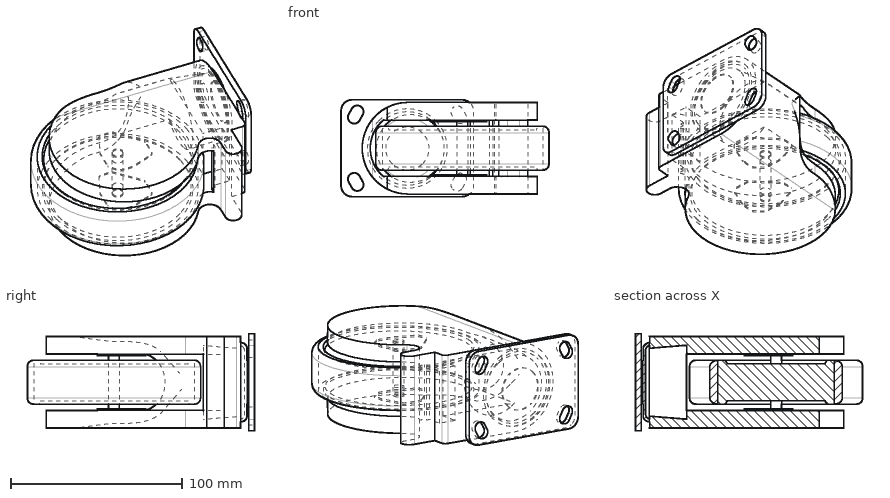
import cadquery as cq
import math


plate_length = 77.2
plate_width = 56.7
plate_thickness = 3.6
plate_corner_radius = 6.6
slot_spacing_x = 60.0
slot_spacing_z = 39.3
slot_diameter = 7.2
slot_length = 10.9
slot_angle = 61.0

stem_radius = 12.6
stem_height = 0.8
dome_radius = 23.2
dome_height = 3.8
dome_top_radius = 19.4
dome_wall = 1.7
dome_top_depth = plate_thickness + stem_height

axle_x = 32.2
wheel_radius = 50.5
wheel_width = 25.7
overall_height = 132.7
axle_y = wheel_radius - overall_height
rim_radius = 46.8
shoulder_size = wheel_radius - rim_radius
recess_radius = 43.9
recess_floor_radius = 43.0
recess_depth = 2.0
axle_radius = 3.2

fork_top_depth = dome_top_depth + dome_height
fork_width = 53.5
fork_gap = 32.9
shell_radius = fork_width / 2
shell_center_x = 0.5
shell_left_x = shell_center_x - shell_radius
bore_radius = dome_radius - dome_wall
bore_top_radius = 19.8
cheek_radius = 43.8
cheek_center_y = -77.9
cheek_end_y = -76.7
bend_start_y = -38.2
bend_x = -20.5
bend_y = -53.6
back_x = 50.7
back_corner_radius = 2.7
tab_tip_x = 70.5
tab_top_depth = 17.8
tab_thickness = 10.1
tab_fillet_radius = 6.8
web_depth = 30.0
web_pocket_start_x = 36.8
web_pocket_end_x = 47.8
web_pocket_depth = tab_top_depth
web_step_end_x = 49.9
web_step_depth = tab_top_depth + tab_thickness

pad_thickness = 0.9
pad_corner_radius = 2.7
pad_left = -17.5
pad_right = 14.2
pad_bottom = -9.7
pad_top = 18.6
pad_flat_left = -3.2
pad_flat_right = 8.8
pad_side_low = -4.5
pad_side_high = 3.7


def across_swivel(depth):
    """Workplane square to the swivel axis; positive extrusion runs towards -Y."""
    return cq.Workplane("XZ", origin=(0, -depth, 0))


def around_axle(z):
    """Workplane square to the axle and centred on it."""
    return cq.Workplane("XY", origin=(axle_x, axle_y, z))


def make_plate():
    plate = across_swivel(0).rect(plate_length, plate_width).extrude(plate_thickness)
    plate = plate.edges("|Y").fillet(plate_corner_radius)
    for side_x in (-1, 1):
        for side_z in (-1, 1):
            slot = (
                across_swivel(0)
                .center(side_x * slot_spacing_x / 2, side_z * slot_spacing_z / 2)
                .slot2D(slot_length, slot_diameter, -side_x * side_z * slot_angle)
                .extrude(plate_thickness)
            )
            plate = plate.cut(slot)
    return plate


def make_stem():
    return across_swivel(plate_thickness).circle(stem_radius).extrude(stem_height)


def make_dome():
    """Thin cap with a rounded rim, open towards the bore of the fork."""
    top_y = -dome_top_depth
    base_y = -fork_top_depth
    inner_top_radius = dome_top_radius - dome_wall
    inner_top_y = top_y - dome_wall
    diagonal = math.sqrt(0.5)

    def rim_middle(flat_radius, outer_radius, upper_y):
        return (
            flat_radius + (outer_radius - flat_radius) * diagonal,
            base_y + (upper_y - base_y) * diagonal,
        )

    return (
        cq.Workplane("XY")
        .moveTo(0, top_y)
        .lineTo(dome_top_radius, top_y)
        .threePointArc(rim_middle(dome_top_radius, dome_radius, top_y), (dome_radius, base_y))
        .lineTo(bore_radius, base_y)
        .threePointArc(
            rim_middle(inner_top_radius, bore_radius, inner_top_y),
            (inner_top_radius, inner_top_y),
        )
        .lineTo(0, inner_top_y)
        .close()
        .revolve(360, (0, 0, 0), (0, 1, 0))
    )


def fork_side_profile():
    """Side outline of the fork: neck, locking tab and round cheek in one loop."""
    top_y = -fork_top_depth
    tab_top_y = -tab_top_depth
    tab_radius = tab_thickness / 2
    tab_bottom_y = tab_top_y - tab_thickness
    cheek_end_x = axle_x - math.sqrt(cheek_radius**2 - (cheek_end_y - cheek_center_y) ** 2)

    fillet_y = tab_bottom_y - tab_fillet_radius
    center_distance = cheek_radius + tab_fillet_radius
    rise = fillet_y - cheek_center_y
    fillet_x = axle_x + math.sqrt(center_distance**2 - rise**2)
    contact_angle = math.atan2(rise, fillet_x - axle_x)
    contact = (
        axle_x + cheek_radius * math.cos(contact_angle),
        cheek_center_y + cheek_radius * math.sin(contact_angle),
    )
    middle_angle = (math.pi / 2 + math.pi + contact_angle) / 2
    fillet_middle = (
        fillet_x + tab_fillet_radius * math.cos(middle_angle),
        fillet_y + tab_fillet_radius * math.sin(middle_angle),
    )

    return (
        cq.Workplane("XY", origin=(0, 0, -fork_width / 2))
        .moveTo(shell_left_x, top_y)
        .lineTo(back_x - back_corner_radius, top_y)
        .tangentArcPoint((back_x, top_y - back_corner_radius), relative=False)
        .lineTo(back_x, tab_top_y)
        .lineTo(tab_tip_x - tab_radius, tab_top_y)
        .threePointArc((tab_tip_x, tab_top_y - tab_radius), (tab_tip_x - tab_radius, tab_bottom_y))
        .lineTo(fillet_x, tab_bottom_y)
        .threePointArc(fillet_middle, contact)
        .threePointArc((axle_x, cheek_center_y - cheek_radius), (cheek_end_x, cheek_end_y))
        .tangentArcPoint((bend_x, bend_y), relative=False)
        .tangentArcPoint((shell_left_x, bend_start_y), relative=False)
        .close()
    )


def rounded_front_prism(center_x, radius, half_width, depth):
    """Prism along the swivel axis, round at its -X end and open-ended at +X."""
    height = overall_height - depth
    start = across_swivel(depth).center(center_x, 0)
    round_end = start.circle(radius).extrude(height)
    body = start.rect(overall_height, 2 * radius, centered=(False, True)).extrude(height)
    band = across_swivel(depth).rect(3 * overall_height, 2 * half_width).extrude(height)
    return round_end.union(body).intersect(band)


def web_pocket(start_x, end_x, depth):
    return (
        across_swivel(depth)
        .center((start_x + end_x) / 2, 0)
        .rect(end_x - start_x, fork_gap)
        .extrude(web_depth - depth)
    )


def tapered_bore():
    """Bore under the dome: straight along its +X side and narrowing upwards at its -X side."""
    return (
        across_swivel(fork_top_depth)
        .center(bore_radius - bore_top_radius, 0)
        .circle(bore_top_radius)
        .workplane(offset=web_depth - fork_top_depth)
        .center(bore_top_radius - bore_radius, 0)
        .circle(bore_radius)
        .loft(ruled=True)
    )


def make_fork():
    fork = fork_side_profile().extrude(fork_width)
    fork = fork.intersect(rounded_front_prism(shell_center_x, shell_radius, shell_radius, 0))
    wheel_gap = rounded_front_prism(0, bore_radius, fork_gap / 2, web_depth)
    fork = fork.cut(tapered_bore()).cut(wheel_gap)
    fork = fork.cut(web_pocket(web_pocket_start_x, web_pocket_end_x, web_pocket_depth))
    return fork.cut(web_pocket(web_pocket_end_x, web_step_end_x, web_step_depth))


def make_tyre():
    tyre = around_axle(-wheel_width / 2).circle(wheel_radius).extrude(wheel_width)
    tyre = tyre.edges().fillet(shoulder_size)
    rim_space = around_axle(-wheel_width / 2).circle(rim_radius).extrude(wheel_width)
    return tyre.cut(rim_space)


def make_hub():
    """Disc with a shallow tapered recess in each face and a hole for the axle."""
    half_width = wheel_width / 2
    floor_z = half_width - recess_depth
    return (
        cq.Workplane("XZ", origin=(axle_x, axle_y, 0))
        .moveTo(axle_radius, -floor_z)
        .lineTo(recess_floor_radius, -floor_z)
        .lineTo(recess_radius, -half_width)
        .lineTo(rim_radius, -half_width)
        .lineTo(rim_radius, half_width)
        .lineTo(recess_radius, half_width)
        .lineTo(recess_floor_radius, floor_z)
        .lineTo(axle_radius, floor_z)
        .close()
        .revolve(360, (0, 0, 0), (0, 1, 0))
    )


def make_axle():
    return around_axle(-fork_gap / 2).circle(axle_radius).extrude(fork_gap)


def make_pad(bottom_z):
    outline = [
        (pad_flat_left, pad_bottom),
        (pad_flat_right, pad_bottom),
        (pad_right, pad_side_low),
        (pad_right, pad_side_high),
        (pad_flat_right, pad_top),
        (pad_flat_left, pad_top),
        (pad_left, pad_side_high),
        (pad_left, pad_side_low),
    ]
    pad = around_axle(bottom_z).polyline(outline).close().extrude(pad_thickness)
    pad = pad.edges("|Z").fillet(pad_corner_radius)
    return pad.cut(around_axle(bottom_z).circle(axle_radius).extrude(pad_thickness))


plate = make_plate()
stem = make_stem()
dome = make_dome()
fork = make_fork()
tyre = make_tyre()
hub = make_hub()
axle = make_axle()
pads = [make_pad(bottom_z) for bottom_z in (-fork_gap / 2, fork_gap / 2 - pad_thickness)]

bodies = [plate, stem, dome, fork, tyre, hub, axle, *pads]
result = cq.Compound.makeCompound([body.val() for body in bodies])